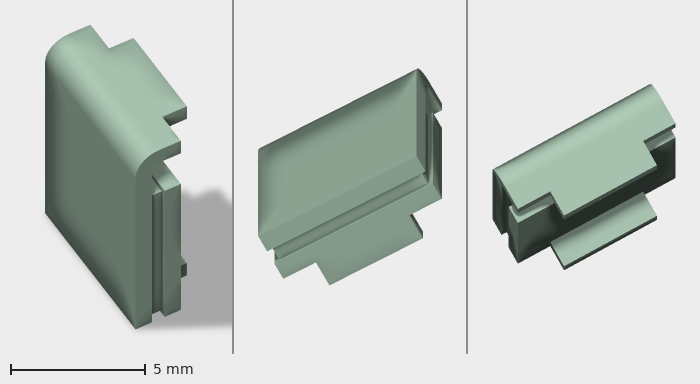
import cadquery as cq

width = 6.7
depth = 3.0
height = 9.4

sheet_thickness = 0.7
outer_bend_radius = 1.0
inner_bend_radius = outer_bend_radius - sheet_thickness

back_plate_height = 7.0
spacer_thickness = 0.55
spacer_inset = 0.2
back_plate_front = sheet_thickness + spacer_thickness
back_plate_back = back_plate_front + sheet_thickness

tab_width = 3.95


def block(size_x, front, back, bottom, top):
    """Box centred on X = 0, between the given Y and Z limits."""
    return cq.Workplane("XY").box(
        size_x, back - front, top - bottom, centered=(True, False, False)
    ).translate((0, front, bottom))


def bent_sheet():
    """Front wall that bends over at the top into a short flange."""
    wall = block(width, 0, back_plate_back, 0, height)
    wall = wall.edges("|X and <Y and >Z").fillet(outer_bend_radius)
    hollow = block(width, sheet_thickness, back_plate_back, 0, height - sheet_thickness)
    hollow = hollow.edges("|X and <Y and >Z").fillet(inner_bend_radius)
    return wall.cut(hollow)


def back_plate():
    return block(width, back_plate_front, back_plate_back, 0, back_plate_height)


def spacer():
    """Core between the front wall and the back plate, set in on all four sides."""
    return block(
        width - 2 * spacer_inset,
        sheet_thickness,
        back_plate_front,
        spacer_inset,
        back_plate_height - spacer_inset,
    )


def tab(bottom):
    return block(tab_width, back_plate_back, depth, bottom, bottom + sheet_thickness)


result = bent_sheet().union(spacer()).union(back_plate())
for tab_bottom in (0, height - sheet_thickness):
    result = result.union(tab(tab_bottom))